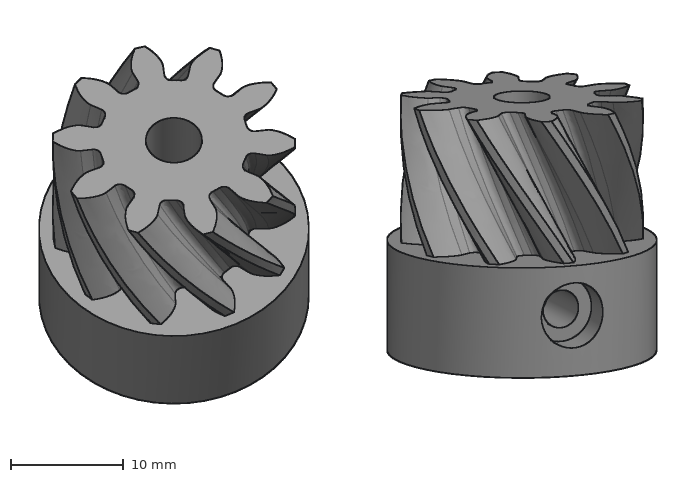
import cadquery as cq
import math

hub_diameter = 24.0
hub_height = 10.0

tooth_count = 10
gear_height = 12.98
tip_radius = 10.78
base_radius = 8.4
root_radius = 6.67
root_fillet = 0.67
half_tooth_at_base = math.radians(9.7)
first_tooth_angle = math.radians(97.2)
twist_degrees = -47.0
flank_points = 6

bore_diameter = 5.0

screw_diameter = 3.4
screw_head_diameter = 5.9
screw_head_depth = 3.0
screw_height = 5.5

hub_radius = hub_diameter / 2
pitch_angle = 2 * math.pi / tooth_count

fillet_centre_radius = root_radius + root_fillet
fillet_angle = math.asin(root_fillet / fillet_centre_radius)
foot_radius = fillet_centre_radius * math.cos(fillet_angle)


def polar(radius, angle):
    return (radius * math.cos(angle), radius * math.sin(angle))


def flank(tooth_angle, side):
    """Involute points from base to tip; side is 1 or -1 (counterclockwise or clockwise)."""
    tip_roll = math.sqrt((tip_radius / base_radius) ** 2 - 1)
    points = []
    for i in range(flank_points):
        roll = tip_roll * i / (flank_points - 1)
        radius = base_radius * math.sqrt(1 + roll**2)
        half_tooth = half_tooth_at_base - (roll - math.atan(roll))
        points.append(polar(radius, tooth_angle + side * half_tooth))
    return points


def fillet_middle(foot_angle, side):
    """Middle point of the root fillet on the given side of a tooth foot."""
    centre_angle = foot_angle + side * fillet_angle
    direction = centre_angle + math.pi + side * (math.pi / 2 - fillet_angle) / 2
    x, y = polar(fillet_centre_radius, centre_angle)
    dx, dy = polar(root_fillet, direction)
    return (x + dx, y + dy)


def gear_profile():
    """Involute teeth with radial feet, filleted into the root circle."""
    start = polar(foot_radius, first_tooth_angle - half_tooth_at_base)
    outline = cq.Workplane("XY", origin=(0, 0, hub_height)).moveTo(*start)
    for i in range(tooth_count):
        tooth_angle = first_tooth_angle + i * pitch_angle
        gap_angle = tooth_angle + pitch_angle / 2
        gap_start = tooth_angle + half_tooth_at_base
        gap_end = tooth_angle + pitch_angle - half_tooth_at_base
        rising = flank(tooth_angle, -1)
        falling = flank(tooth_angle, 1)[::-1]
        root_start = polar(root_radius, gap_start + fillet_angle)
        root_end = polar(root_radius, gap_end - fillet_angle)
        outline = (
            outline.lineTo(*rising[0])
            .spline(rising[1:], includeCurrent=True)
            .threePointArc(polar(tip_radius, tooth_angle), falling[0])
            .spline(falling[1:], includeCurrent=True)
            .lineTo(*polar(foot_radius, gap_start))
            .threePointArc(fillet_middle(gap_start, 1), root_start)
            .threePointArc(polar(root_radius, gap_angle), root_end)
            .threePointArc(fillet_middle(gap_end, -1), polar(foot_radius, gap_end))
        )
    return outline.close()


def helical_gear():
    gear = gear_profile().twistExtrude(gear_height, twist_degrees)
    return gear.rotate((0, 0, 0), (0, 0, 1), -twist_degrees)


def screw_hole():
    mouth = cq.Workplane("YZ", origin=(-hub_radius, 0, screw_height))
    shank = mouth.circle(screw_diameter / 2).extrude(hub_radius)
    head = mouth.circle(screw_head_diameter / 2).extrude(screw_head_depth)
    return shank.union(head)


hub = cq.Workplane("XY").circle(hub_radius).extrude(hub_height)
bore = cq.Workplane("XY").circle(bore_diameter / 2).extrude(hub_height + gear_height)

result = hub.union(helical_gear()).cut(bore).cut(screw_hole())